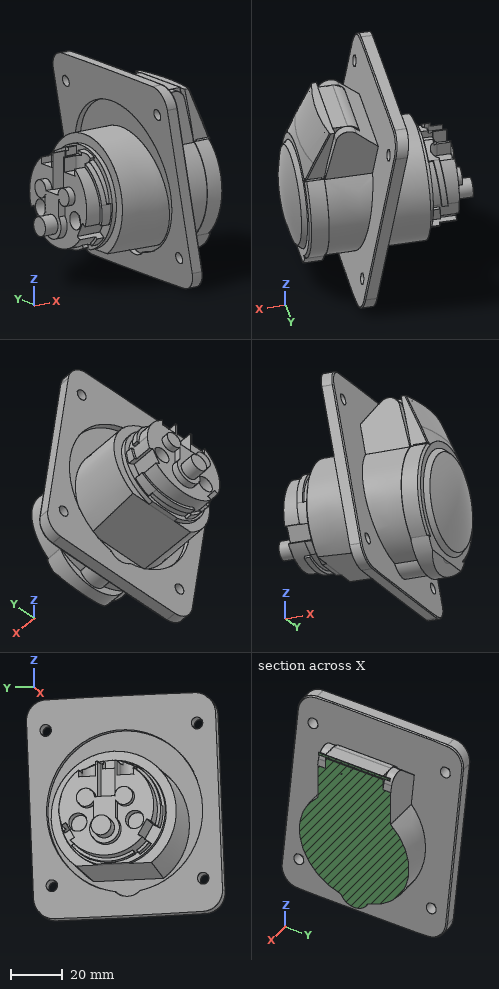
import cadquery as cq
import math


PAD_X = 5.96
CORE_X = 8.9
COLLAR_X = 19.66
BARREL_X = 21.58
LID_X = 61.86
LID_FRONT_X = 69.6
DOME_X = 71.6
TIP_X = 75.04

TILT = 10.0
PLATE_BACK_X = 40.97
PLATE_THICKNESS = 5.0
PLATE_WIDTH = 75.0
PLATE_HEIGHT = 83.71
PLATE_CENTRE_Z = 7.15
PLATE_CROWN = 0.3
PLATE_CORNER = 8.0
PLATE_EDGE_CHAMFER = 0.5
SCREW_PITCH = 60.0
SCREW_DIAMETER = 4.4
SCREW_CENTRE_Z = 7.65
RECESS_RADIUS = 30.9
RECESS_CENTRE_Z = 5.1
RECESS_DEPTH = 2.4
RECESS_LOBE_RADIUS = 6.9
RECESS_LOBE_Z = -20.5

CORE_RADIUS = 18.8
COLLAR_RADIUS = 20.84
EARTH_PIN_RADIUS = 3.93
EARTH_BOSS_RADIUS = 5.9
EARTH_Z = -8.75
PAD_WIDTH = 8.84
PAD_TOP_WIDTH = 8.4
CONTACT_RADIUS = 3.58
UPPER_CONTACT_Y = 7.58
UPPER_CONTACT_Z = 3.75
LOWER_CONTACT_Y = 11.25
LOWER_CONTACT_Z = -5.3
LOWER_CONTACT_DEPTH = 4.5
CHANNEL_WIDTH = 6.9
CHANNEL_FLOOR_Z = 3.83
CHANNEL_END_X = 14.6
NOTCH_WIDTH = 5.6
SIDE_NOTCH_WIDTH = 6.9
NOTCH_FLOOR = 16.55
POCKET_CENTRE_Y = 7.55
POCKET_WIDTH = 6.7
POCKET_FLOOR_Z = 12.6
POCKET_END_X = 17.85

RAMP_COUNT = 3
RAMP_RADIUS = 20.03
RAMP_ROOT = 18.0
RAMP_START_X = 13.62
RAMP_SWEEP = 117.0
RAMP_RELIEF_SWEEP = 55.0
RAMP_WIDTH = 2.45
RAMP_LEAD = 9.83
RAMP_BAND_WIDTH = 4.6

BARREL_RADIUS = 24.8
HOUSING_RADIUS = 24.95
RIB_X = 48.5
FLAT_Z = -19.8
FLAT_END_X = 49.0
FLAT_DROP = 0.98
RIB_RADIUS = 6.5
RIB_BOTTOM_Z = -28.25

LID_RADIUS = 25.15
LID_RIM_ROUND_X = 0.75
LID_RIM_ROUND_R = 1.15
DOME_BASE_RADIUS = 21.35
DOME_RADIUS = 19.7
LID_TOP_FLAT_Z = 18.9
LUG_BOTTOM_Z = -29.35
LUG_TOP_Z = -19.0
LUG_BEVEL_X = 66.86
LUG_BEVEL_Z = -23.8

HINGE_WIDTH = 33.14
EAR_X = 52.5
EAR_Z = 35.7
EAR_RADIUS = 4.85
EAR_REAR_SLOPE = 42.5
EAR_REAR_X = 39.0
EAR_FRONT_LEAN = 13.6
EAR_FOOT_X = 43.0
KNUCKLE_WIDTH = 26.1
KNUCKLE_X = 51.9
KNUCKLE_Z = 35.4
KNUCKLE_RADIUS = 5.15
KNUCKLE_BOTTOM_Z = 27.4
KNUCKLE_FRONT_X = 57.8
ARM_FRONT_X = 61.0
ARM_TOP_Z = 39.0
HOOD_WIDTH = 32.4
HOOD_EDGE_CHAMFER = 0.35
HOOD_FOOT_X = 63.0
HOOD_FOOT_HEIGHT = 0.6
HOOD_SECTIONS = (
    (40.5, 57.6, 59.6, 61.5),
    (26.8, 60.5, 66.0, 68.5),
    (18.9, LID_X, 69.3, 71.8),
)

FAR = 200.0


def x_cylinder(x0, x1, radius, y=0.0, z=0.0):
    """Solid cylinder parallel to X."""
    return cq.Workplane("YZ", origin=(x0, 0, 0)).center(y, z).circle(radius).extrude(x1 - x0)


def block(x0, x1, width, z0, z1, y=0.0):
    """Box between two X stations and two heights, centred on y."""
    corner = cq.Workplane("XY", origin=(x0, y, z0))
    return corner.box(x1 - x0, width, z1 - z0, centered=(False, True, False))


def side_profile(points, width):
    """Closed XZ polygon extruded symmetrically in Y."""
    return cq.Workplane("XZ").polyline(points).close().extrude(width / 2, both=True)


def tilted_slab(back_x, thickness):
    """Slab parallel to the plate, its back face crossing the axis at back_x."""
    run = FAR * math.tan(math.radians(TILT))
    dx = thickness / math.cos(math.radians(TILT))
    corners = [
        (back_x - run, FAR),
        (back_x + dx - run, FAR),
        (back_x + dx + run, -FAR),
        (back_x + run, -FAR),
    ]
    return side_profile(corners, FAR)


def make_plate():
    """Rounded plate between two tilted faces, with screw holes and a shallow recess at the back."""
    half_w = PLATE_WIDTH / 2
    half_h = PLATE_HEIGHT / 2
    shoulder = half_h - PLATE_CROWN
    plate = (
        cq.Workplane("YZ")
        .center(0, PLATE_CENTRE_Z)
        .moveTo(-half_w, -shoulder)
        .threePointArc((0, -half_h), (half_w, -shoulder))
        .lineTo(half_w, shoulder)
        .threePointArc((0, half_h), (-half_w, shoulder))
        .close()
        .extrude(FAR)
        .edges("|X")
        .fillet(PLATE_CORNER)
        .intersect(tilted_slab(PLATE_BACK_X, PLATE_THICKNESS))
    )
    front_normal = cq.Vector(math.cos(math.radians(TILT)), 0, math.sin(math.radians(TILT)))
    plate = plate.faces(cq.selectors.DirectionMinMaxSelector(front_normal)).chamfer(PLATE_EDGE_CHAMFER)

    screw_pitch_z = SCREW_PITCH * math.cos(math.radians(TILT))
    screws = (
        cq.Workplane("YZ")
        .center(0, SCREW_CENTRE_Z)
        .rarray(SCREW_PITCH, screw_pitch_z, 2, 2)
        .circle(SCREW_DIAMETER / 2)
        .extrude(FAR)
    )
    recess = x_cylinder(0, FAR, RECESS_RADIUS, z=RECESS_CENTRE_Z)
    recess = recess.union(x_cylinder(0, FAR, RECESS_LOBE_RADIUS, z=RECESS_LOBE_Z))
    recess = recess.intersect(tilted_slab(PLATE_BACK_X - RECESS_DEPTH, 2 * RECESS_DEPTH))
    return plate.cut(screws).cut(recess)


def make_barrel():
    """Slightly tapered body from the collar to the lid, with a flat behind the plate."""
    barrel = (
        cq.Workplane("XY")
        .polyline([
            (BARREL_X, 0),
            (BARREL_X, BARREL_RADIUS),
            (LID_X, HOUSING_RADIUS),
            (LID_X, 0),
        ])
        .close()
        .revolve(360, (0, 0, 0), (1, 0, 0))
    )
    collar = x_cylinder(COLLAR_X, BARREL_X, COLLAR_RADIUS)
    below_flat = side_profile(
        [
            (COLLAR_X, FLAT_Z),
            (BARREL_X, FLAT_Z),
            (FLAT_END_X, FLAT_Z - FLAT_DROP),
            (FLAT_END_X, -FAR),
            (COLLAR_X, -FAR),
        ],
        FAR,
    )
    return barrel.union(collar).cut(below_flat)


def make_keyway_rib():
    return x_cylinder(RIB_X, LID_X, RIB_RADIUS, z=RIB_BOTTOM_Z + RIB_RADIUS)


def make_ramp_band(width, start, sweep):
    """Helical band with its rear edge on the ramp line, between two angles past the ramp start."""
    rise = RAMP_LEAD * sweep / 360
    middle = (RAMP_ROOT + RAMP_RADIUS) / 2
    path = cq.Wire.makeHelix(RAMP_LEAD, rise, RAMP_ROOT)
    band = (
        cq.Workplane("XZ")
        .center(middle, width / 2)
        .rect(RAMP_RADIUS - RAMP_ROOT, width)
        .sweep(cq.Workplane(path), isFrenet=True)
    )
    band = band.rotate((0, 0, 0), (0, 1, 0), 90)
    band = band.rotate((0, 0, 0), (1, 0, 0), start + 90)
    return band.translate((RAMP_START_X + RAMP_LEAD * start / 360, 0, 0))


def make_ramps():
    rib = make_ramp_band(RAMP_WIDTH, 0, RAMP_RELIEF_SWEEP)
    land = make_ramp_band(RAMP_BAND_WIDTH, RAMP_RELIEF_SWEEP, RAMP_SWEEP - RAMP_RELIEF_SWEEP)
    return [
        band.rotate((0, 0, 0), (1, 0, 0), k * 360 / RAMP_COUNT)
        for k in range(RAMP_COUNT)
        for band in (rib, land)
    ]


def make_core():
    """Contact core with bayonet ramps, raised pad, pin, contact holes, channel and notches."""
    core = x_cylinder(CORE_X, BARREL_X, CORE_RADIUS)
    for band in make_ramps():
        core = core.union(band)
    core = core.union(x_cylinder(PAD_X, CORE_X, EARTH_BOSS_RADIUS, z=EARTH_Z))
    core = core.union(block(PAD_X, CORE_X, PAD_WIDTH, EARTH_Z, UPPER_CONTACT_Z))
    core = core.union(block(PAD_X, CORE_X, PAD_TOP_WIDTH, UPPER_CONTACT_Z, CHANNEL_FLOOR_Z))
    core = core.union(x_cylinder(0, CORE_X, EARTH_PIN_RADIUS, z=EARTH_Z))
    for side in (-1, 1):
        core = core.union(
            x_cylinder(PAD_X, CORE_X, CONTACT_RADIUS, side * UPPER_CONTACT_Y, UPPER_CONTACT_Z)
        )
        core = core.cut(
            x_cylinder(
                CORE_X,
                CORE_X + LOWER_CONTACT_DEPTH,
                CONTACT_RADIUS,
                side * LOWER_CONTACT_Y,
                LOWER_CONTACT_Z,
            )
        )
        core = core.cut(make_pocket(side * POCKET_CENTRE_Y))

    core = core.cut(block(CORE_X, CHANNEL_END_X, CHANNEL_WIDTH, CHANNEL_FLOOR_Z, FAR))
    core = core.cut(block(CORE_X, COLLAR_X, NOTCH_WIDTH, NOTCH_FLOOR, FAR))
    side_notch = block(CORE_X, COLLAR_X, SIDE_NOTCH_WIDTH, NOTCH_FLOOR, FAR)
    for k in range(1, RAMP_COUNT):
        core = core.cut(side_notch.rotate((0, 0, 0), (1, 0, 0), k * 360 / RAMP_COUNT))
    return core


def make_pocket(y):
    """Round-ended terminal pocket, open at the rear and at the top."""
    radius = POCKET_WIDTH / 2
    end_centre_x = POCKET_END_X - radius
    straight = block(CORE_X, end_centre_x, POCKET_WIDTH, POCKET_FLOOR_Z, FAR, y)
    end = (
        cq.Workplane("XY", origin=(end_centre_x, y, POCKET_FLOOR_Z))
        .circle(radius)
        .extrude(FAR)
    )
    return straight.union(end)


def make_lid():
    """Domed lid, cut flat at the top to take the hood, with a lug below."""
    rim_radius = LID_RADIUS - LID_RIM_ROUND_R
    dome_sag = TIP_X - DOME_X
    dome_sphere = (DOME_RADIUS**2 + dome_sag**2) / (2 * dome_sag)
    mid_y = DOME_RADIUS / 2
    mid_x = TIP_X - dome_sphere + math.sqrt(dome_sphere**2 - mid_y**2)
    lid = (
        cq.Workplane("XY")
        .moveTo(LID_X, 0)
        .lineTo(LID_X, LID_RADIUS)
        .lineTo(LID_FRONT_X - LID_RIM_ROUND_X, LID_RADIUS)
        .lineTo(LID_FRONT_X, rim_radius)
        .lineTo(LID_FRONT_X, DOME_BASE_RADIUS)
        .lineTo(DOME_X, DOME_RADIUS)
        .threePointArc((mid_x, mid_y), (TIP_X, 0))
        .close()
        .revolve(360, (0, 0, 0), (1, 0, 0))
    )
    lid = lid.cut(block(LID_X, LID_FRONT_X, HINGE_WIDTH, LID_TOP_FLAT_Z, FAR))
    return lid.union(make_lug())


def make_lug():
    """Round lug under the lid, bevelled at the front."""
    half_width = math.sqrt(LID_RADIUS**2 - LUG_TOP_Z**2)
    lug = (
        cq.Workplane("YZ", origin=(LID_X, 0, 0))
        .moveTo(-half_width, LUG_TOP_Z)
        .threePointArc((0, LUG_BOTTOM_Z), (half_width, LUG_TOP_Z))
        .close()
        .extrude(LID_FRONT_X - LID_X)
    )
    bevel = side_profile(
        [(LUG_BEVEL_X, LUG_BOTTOM_Z), (LID_FRONT_X, LUG_BEVEL_Z), (LID_FRONT_X, LUG_BOTTOM_Z)], FAR
    )
    return lug.cut(bevel)


def make_ears():
    """Hinge block with a sloped rear flank, a round top and a leaning front."""
    slope = math.radians(EAR_REAR_SLOPE)
    lean = math.radians(EAR_FRONT_LEAN)
    rear_x = EAR_X - EAR_RADIUS * math.sin(slope)
    rear_z = EAR_Z + EAR_RADIUS * math.cos(slope)
    front_x = EAR_X + EAR_RADIUS * math.cos(lean)
    front_z = EAR_Z + EAR_RADIUS * math.sin(lean)
    foot_z = rear_z - (rear_x - EAR_REAR_X) * math.tan(slope)
    front_foot_x = front_x + (front_z - LID_TOP_FLAT_Z) * math.tan(lean)
    return (
        cq.Workplane("XZ")
        .moveTo(EAR_FOOT_X, 0)
        .lineTo(EAR_REAR_X, foot_z)
        .lineTo(rear_x, rear_z)
        .threePointArc((EAR_X, EAR_Z + EAR_RADIUS), (front_x, front_z))
        .lineTo(front_foot_x, LID_TOP_FLAT_Z)
        .lineTo(front_foot_x, 0)
        .close()
        .extrude(HINGE_WIDTH / 2, both=True)
    )


def make_knuckle():
    top_z = KNUCKLE_Z + KNUCKLE_RADIUS
    pivot = (
        cq.Workplane("XZ")
        .center(KNUCKLE_X, KNUCKLE_Z)
        .circle(KNUCKLE_RADIUS)
        .extrude(KNUCKLE_WIDTH / 2, both=True)
    )
    knuckle = pivot.union(block(KNUCKLE_X, KNUCKLE_FRONT_X, KNUCKLE_WIDTH, KNUCKLE_BOTTOM_Z, top_z))
    return knuckle.union(block(KNUCKLE_X, ARM_FRONT_X, KNUCKLE_WIDTH, KNUCKLE_BOTTOM_Z, ARM_TOP_Z))


def hood_section(z, back_x, side_x, middle_x):
    half = HOOD_WIDTH / 2
    outline = (
        cq.Workplane("XY", origin=(0, 0, z))
        .moveTo(back_x, -half)
        .lineTo(side_x, -half)
        .threePointArc((middle_x, 0), (side_x, half))
        .lineTo(back_x, half)
        .close()
    )
    return outline.val()


def make_hood():
    """Arm of the lid that rises to the hinge, with a bulging front face and chamfered front edges."""
    hood = cq.Workplane(cq.Solid.makeLoft([hood_section(*s) for s in HOOD_SECTIONS], True))
    front_edges = []
    for upper, lower in zip(HOOD_SECTIONS, HOOD_SECTIONS[1:]):
        middle_z = (upper[0] + lower[0]) / 2
        middle_x = (upper[2] + lower[2]) / 2
        for side in (-1, 1):
            near = cq.selectors.NearestToPointSelector((middle_x, side * HOOD_WIDTH / 2, middle_z))
            front_edges.append(hood.edges(near).val())
    hood = hood.newObject(front_edges).chamfer(HOOD_EDGE_CHAMFER)
    return hood.union(make_hood_feet()).intersect(block(0, LID_FRONT_X, FAR, 0, FAR))


def make_hood_feet():
    """Narrow sloped strips where the sides of the hood meet the lid."""
    foot_front_x = HOOD_SECTIONS[-1][2]
    return (
        cq.Workplane("YZ", origin=(HOOD_FOOT_X, 0, 0))
        .polyline([
            (-HINGE_WIDTH / 2, LID_TOP_FLAT_Z),
            (-HOOD_WIDTH / 2, LID_TOP_FLAT_Z + HOOD_FOOT_HEIGHT),
            (HOOD_WIDTH / 2, LID_TOP_FLAT_Z + HOOD_FOOT_HEIGHT),
            (HINGE_WIDTH / 2, LID_TOP_FLAT_Z),
        ])
        .close()
        .extrude(foot_front_x - HOOD_FOOT_X)
    )


result = make_plate()
for piece in (
    make_barrel(),
    make_keyway_rib(),
    make_core(),
    make_lid(),
    make_ears(),
    make_hood(),
    make_knuckle(),
):
    result = result.union(piece)